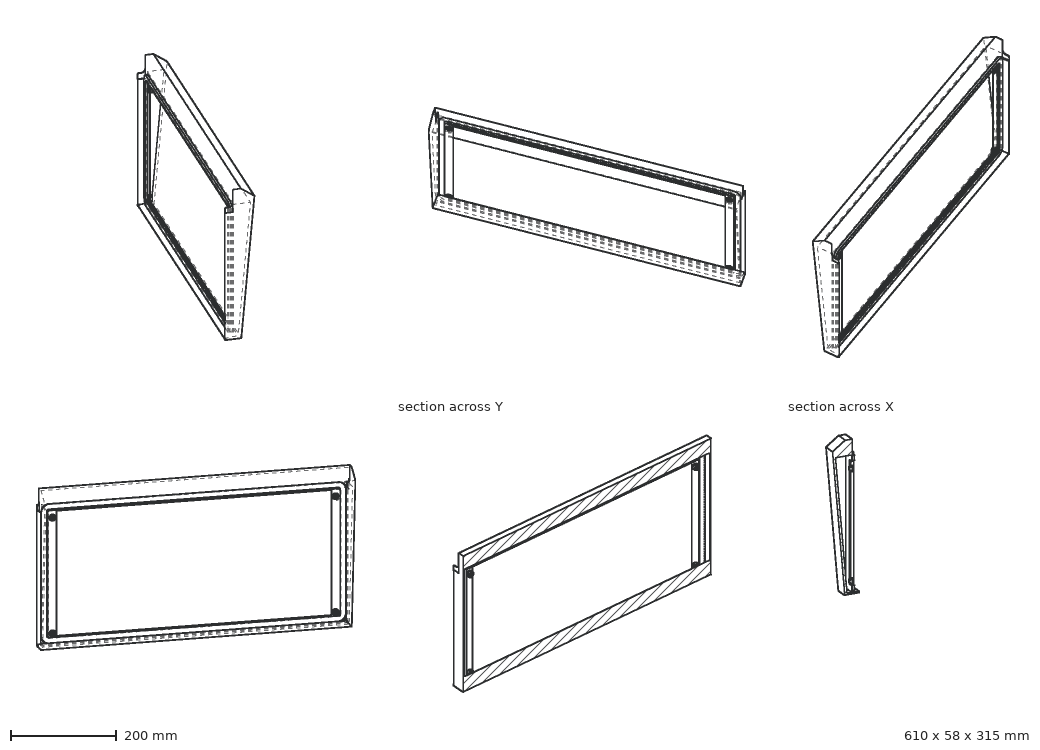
import cadquery as cq
import math

WIDTH = 610.0
HEIGHT = 315.0
TOP_DEPTH = 16.0
SHOULDER_DEPTH = 43.0
SHOULDER_Z = 296.0
BACK_TILT = 5.0
WALL = 4.0
BACK_WALL = 6.0
FRONT_WALL = 2.5
EDGE_ROUND = 2.0

LIP_REACH = 15.0
LIP_BASE = 4.0
LIP_CREST = 3.0
LIP_TOP_Z = 266.5

CHEEK = 1.0
CHEEK_TOP_Z = 287.0
CHEEK_HOLLOW = 8.5
CHEEK_ROUND = 3.0

FRAME_SIDE = 5.5
FRAME_BOTTOM = 5.5
FRAME_TOP = 282.0
FRAME_CORNER = 16.0
SHEET = 1.0
RIM_RISE = 3.0
RIM_WIDTH = 13.0
RIM_OUTER_SLOPE = 12.0
RIM_INNER_SLOPE = 24.0
POCKET_CORNER = 3.5
WINDOW_SIDE = 35.5
WINDOW_BOTTOM = 21.0
WINDOW_TOP = 267.0

SLEEVE_SIDE = 27.5
SLEEVE_LOW_Z = 26.0
SLEEVE_HIGH_Z = 254.5
SLEEVE_RADIUS = 6.0
SLEEVE_BORE = 3.0
SLEEVE_LENGTH = 6.0

POCKET_SIDE = FRAME_SIDE + RIM_WIDTH
POCKET_BOTTOM = FRAME_BOTTOM + RIM_WIDTH
POCKET_TOP = FRAME_TOP - RIM_WIDTH

MID_X = WIDTH / 2
SLEEVE_PLACES = [
    (x, z)
    for x in (SLEEVE_SIDE, WIDTH - SLEEVE_SIDE)
    for z in (SLEEVE_LOW_Z, SLEEVE_HIGH_Z)
]


def back_depth(z):
    """Depth of the leaning back surface at height z."""
    return SHOULDER_DEPTH - (SHOULDER_Z - z) * math.tan(math.radians(BACK_TILT))


def front_block(side_gap, bottom, top, y, rise, corner=0.0, slope=0.0):
    """Block centred across the width, rising toward -Y from depth y with walls leaning in by slope."""
    outline = cq.Sketch().rect(WIDTH - 2 * side_gap, top - bottom)
    if corner > 0:
        outline = outline.vertices().fillet(corner)
    plane = cq.Workplane("XZ", origin=(MID_X, y, (bottom + top) / 2))
    return plane.placeSketch(outline).extrude(rise, taper=slope)


def side_profile(points, x, length):
    """Prism along X from an outline of (Y, Z) points."""
    return cq.Workplane("YZ", origin=(x, 0, 0)).polyline(points).close().extrude(length)



def shell():
    """Hollow wedge-shaped box with an opening in its front wall."""
    outer_points = [
        (0, 0),
        (back_depth(0), 0),
        (SHOULDER_DEPTH, SHOULDER_Z),
        (TOP_DEPTH, HEIGHT),
        (0, HEIGHT),
    ]
    outer = side_profile(outer_points, 0, WIDTH)
    outer = outer.edges("<Y and >Z").fillet(EDGE_ROUND)

    level_back_wall = BACK_WALL / math.cos(math.radians(BACK_TILT))
    cavity_points = [
        (FRONT_WALL, WALL),
        (back_depth(WALL) - level_back_wall, WALL),
        (back_depth(FRAME_TOP) - level_back_wall, FRAME_TOP),
        (FRONT_WALL, FRAME_TOP),
    ]
    cavity = side_profile(cavity_points, WALL, WIDTH - 2 * WALL)
    opening = front_block(POCKET_SIDE, POCKET_BOTTOM, POCKET_TOP, FRONT_WALL, FRONT_WALL)
    return outer.cut(cavity).cut(opening)


def lip_strip(plane, length):
    """Lip with a straight outer side, a leaning inner side and a fully rounded crest."""
    radius = LIP_CREST / 2
    return (
        cq.Workplane(plane)
        .lineTo(0, LIP_REACH - radius)
        .threePointArc((radius, LIP_REACH), (LIP_CREST, LIP_REACH - radius))
        .lineTo(LIP_BASE, 0)
        .close()
        .extrude(length)
    )


def lip():
    """U-shaped lip: a strip on the left, one along the bottom and one on the right."""
    left_plane = cq.Plane(origin=(0, 0, LIP_TOP_Z), xDir=(1, 0, 0), normal=(0, 0, -1))
    bottom_plane = cq.Plane(origin=(0, 0, 0), xDir=(0, 0, 1), normal=(1, 0, 0))
    left = lip_strip(left_plane, LIP_TOP_Z)
    right = left.mirror("YZ", (MID_X, 0, 0))
    bottom = lip_strip(bottom_plane, WIDTH)
    return left.union(bottom).union(right)


def cheek(x):
    """Thin plate on top of a side lip, curving from the front face out to the lip crest."""
    nose_z = CHEEK_TOP_Z - CHEEK_HOLLOW
    return (
        cq.Workplane("YZ", origin=(x, 0, 0))
        .moveTo(0, LIP_TOP_Z)
        .lineTo(0, CHEEK_TOP_Z)
        .radiusArc((-CHEEK_HOLLOW, nose_z), CHEEK_HOLLOW)
        .lineTo(CHEEK_ROUND - LIP_REACH, nose_z)
        .radiusArc((-LIP_REACH, nose_z - CHEEK_ROUND), -CHEEK_ROUND)
        .lineTo(-LIP_REACH, LIP_TOP_Z)
        .close()
        .extrude(CHEEK)
    )


def make_housing():
    body = shell().union(lip())
    for x in (0, WIDTH - CHEEK):
        body = body.union(cheek(x))
    return body



def sleeve_cylinder(x, z, radius):
    """Cylinder along Y from the front of the sheet backward."""
    return cq.Workplane("XZ", origin=(x, -SHEET, z)).circle(radius).extrude(-SLEEVE_LENGTH)


def make_front_frame():
    """Rimmed sheet resting on the front face, with a window and four sleeve holes."""
    body = front_block(
        FRAME_SIDE, FRAME_BOTTOM, FRAME_TOP, 0, SHEET + RIM_RISE, FRAME_CORNER, RIM_OUTER_SLOPE
    )
    pocket = front_block(
        POCKET_SIDE, POCKET_BOTTOM, POCKET_TOP, -SHEET, RIM_RISE, POCKET_CORNER, -RIM_INNER_SLOPE
    )
    window = front_block(WINDOW_SIDE, WINDOW_BOTTOM, WINDOW_TOP, 0, SHEET)
    body = body.cut(pocket).cut(window)
    for x, z in SLEEVE_PLACES:
        body = body.cut(sleeve_cylinder(x, z, SLEEVE_RADIUS))
    return body


def make_sleeve(x, z):
    """Hollow sleeve, flush with the front of the sheet and reaching into the cavity."""
    return sleeve_cylinder(x, z, SLEEVE_RADIUS).cut(sleeve_cylinder(x, z, SLEEVE_BORE))


housing = make_housing()
front_frame = make_front_frame()
sleeves = [make_sleeve(x, z).val() for x, z in SLEEVE_PLACES]

result = cq.Compound.makeCompound([housing.val(), front_frame.val(), *sleeves])